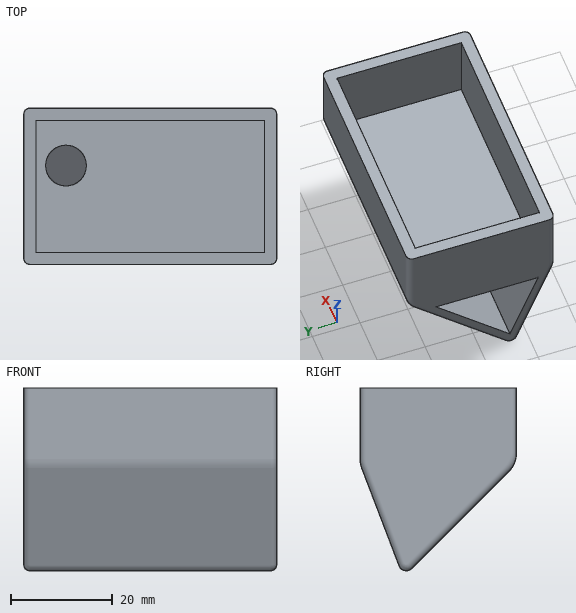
import cadquery as cq
import math

length = 49.8
width = 30.8
wall = 2.4
floor = 2.5
shoulder_depth = 15.0
tip_offset = 8.5

shoulder_radius = 5.0
tip_radius = 1.55
edge_radius = 1.2

drain_diameter = 8.0
drain_from_left = 8.3
drain_from_back = 11.3

front_y = -width / 2
back_y = width / 2
tip_y = front_y + tip_offset

sharp_depth = shoulder_depth + width - tip_offset
back_angle = math.radians(45)
front_angle = math.atan2(tip_offset, sharp_depth - shoulder_depth)


def make_body():
    """Pentagonal prism with rounded slope edges, ends and tip."""
    body = (
        cq.Workplane("YZ", origin=(-length / 2, 0, 0))
        .moveTo(front_y, 0)
        .lineTo(front_y, -shoulder_depth)
        .lineTo(tip_y, -sharp_depth)
        .lineTo(back_y, -shoulder_depth)
        .lineTo(back_y, 0)
        .close()
        .extrude(length)
    )
    nearest = cq.selectors.NearestToPointSelector
    for side_y in (front_y, back_y):
        body = body.edges(nearest((0, side_y, -shoulder_depth))).fillet(shoulder_radius)
    body = body.edges(nearest((0, tip_y, -sharp_depth))).fillet(tip_radius)
    return body.faces("<X or >X").edges("not >Z").fillet(edge_radius)


def make_tray():
    """Rectangular pocket open at the rim; its floor ends at the shoulders."""
    return (
        cq.Workplane("XY")
        .rect(length - 2 * wall, width - 2 * wall)
        .extrude(-shoulder_depth)
    )


def make_chamber():
    """Triangular chamber open at the left end, one wall inside both slopes."""
    ceiling_depth = shoulder_depth + floor
    ceiling_front = front_y + floor * math.tan(front_angle) + wall / math.cos(front_angle)
    ceiling_back = back_y - floor * math.tan(back_angle) - wall / math.cos(back_angle)
    chamber_drop = (ceiling_back - ceiling_front) / (math.tan(front_angle) + math.tan(back_angle))
    chamber_tip_y = ceiling_front + chamber_drop * math.tan(front_angle)
    return (
        cq.Workplane("YZ", origin=(-length / 2, 0, 0))
        .moveTo(ceiling_front, -ceiling_depth)
        .lineTo(chamber_tip_y, -ceiling_depth - chamber_drop)
        .lineTo(ceiling_back, -ceiling_depth)
        .close()
        .extrude(length - wall)
    )


def make_drain():
    """Round passage from the tray floor into the chamber."""
    return (
        cq.Workplane("XY", origin=(0, 0, -shoulder_depth))
        .center(-length / 2 + drain_from_left, back_y - drain_from_back)
        .circle(drain_diameter / 2)
        .extrude(-floor)
    )


result = make_body().cut(make_tray()).cut(make_chamber()).cut(make_drain())